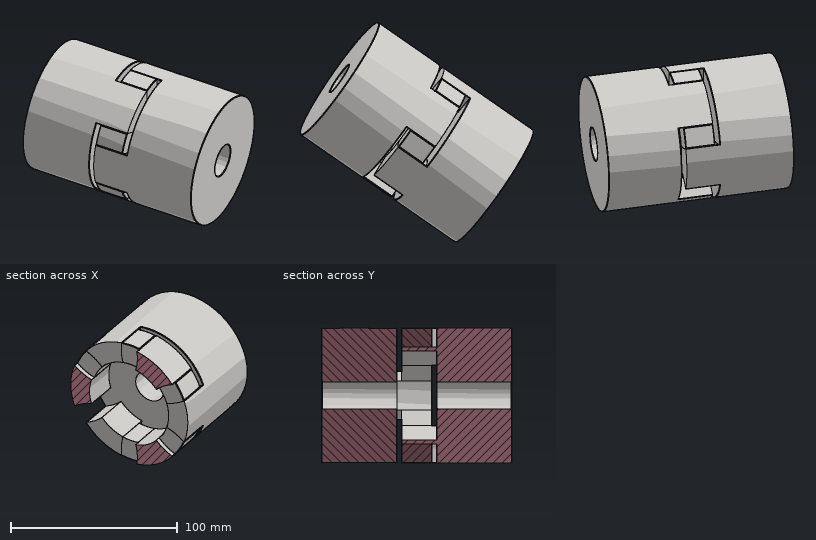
import cadquery as cq
import math


length = 114.0
outer_diameter = 82.0
outer_radius = outer_diameter / 2
bore_radius = 9.98
chamfer = 0.4

floor_x = 12.0
tip_x = 9.0
jaw_count = 3
jaw_pitch = 360.0 / jaw_count
pad_offset = jaw_pitch / 4
first_gap_angle = 0.0
pad_angles = [-90, -30, 30, 90, 150]

pad_inner_radius = 27.2
pad_inner_half_width = 5.5
pad_outer_half_width = 6.3
flank_bulge = 0.7


def place(radial, sideways, angle):
    """YZ point given along and across the direction at `angle` from -Y towards +Z."""
    a = math.radians(angle)
    y = -radial * math.cos(a) + sideways * math.sin(a)
    z = radial * math.sin(a) + sideways * math.cos(a)
    return (y, z)


def flank(pad_angle, side):
    """Inner, middle and outer points of a pad's side towards larger (+1) or smaller (-1) angles."""
    inner_reach = math.sqrt(pad_inner_radius**2 - pad_inner_half_width**2)
    outer_reach = math.sqrt(outer_radius**2 - pad_outer_half_width**2)
    middle_reach = (inner_reach + outer_reach) / 2
    middle_half_width = (pad_inner_half_width + pad_outer_half_width) / 2 + flank_bulge
    return (
        place(inner_reach, side * pad_inner_half_width, pad_angle),
        place(middle_reach, side * middle_half_width, pad_angle),
        place(outer_reach, side * pad_outer_half_width, pad_angle),
    )


def sector(low_flank, high_flank, angle, start_x):
    """Prism from start_x to the jaw tips, between two flanks and the inner and outer radii."""
    low_inner, low_middle, low_outer = low_flank
    high_inner, high_middle, high_outer = high_flank
    return (
        cq.Workplane("YZ", origin=(start_x, 0, 0))
        .moveTo(*low_inner)
        .threePointArc(low_middle, low_outer)
        .threePointArc(place(outer_radius, 0, angle), high_outer)
        .threePointArc(high_middle, high_inner)
        .threePointArc(place(pad_inner_radius, 0, angle), low_inner)
        .close()
        .extrude(tip_x - start_x)
    )


def gap_flanks(angle):
    """The two jaw flanks that bound the gap centred on `angle`, lower angle first."""
    return flank(angle - pad_offset, -1), flank(angle + pad_offset, 1)


def make_gap(angle):
    """Opening between two neighbouring jaws, centred on `angle`."""
    low_flank, high_flank = gap_flanks(angle)
    return sector(low_flank, high_flank, angle, -floor_x)


def gap_rim(hub, angle):
    """Hub edges around the mouth of the gap at `angle`: both flanks and the floor between them."""
    flank_middle_x = (tip_x - floor_x) / 2
    middles = [(-floor_x, *place(outer_radius, 0, angle))]
    for _, _, outer_point in gap_flanks(angle):
        middles.append((flank_middle_x, *outer_point))
    return [hub.edges(cq.selectors.NearestToPointSelector(middle)).val() for middle in middles]


def make_hub():
    """Hub on the -X side, with its jaws pointing towards +X."""
    back = cq.Workplane("YZ", origin=(-length / 2, 0, 0))
    hub_floor = cq.Workplane("YZ", origin=(-floor_x, 0, 0))
    bore = back.circle(bore_radius).extrude(length / 2)
    hollow = hub_floor.circle(pad_inner_radius).extrude(floor_x + tip_x)
    hub = back.circle(outer_radius).extrude(length / 2 + tip_x).cut(bore).cut(hollow)

    gap_angles = [first_gap_angle + i * jaw_pitch for i in range(jaw_count)]
    for angle in gap_angles:
        hub = hub.cut(make_gap(angle))

    hub = hub.faces("<X").edges().chamfer(chamfer)
    for angle in gap_angles:
        hub = hub.newObject(gap_rim(hub, angle)).chamfer(chamfer)
    return hub


def make_pad(angle):
    """Cushion pad with the rim of its outer face chamfered."""
    pad = sector(flank(angle, -1), flank(angle, 1), angle, -tip_x)
    outer_middle = (0, *place(outer_radius, 0, angle))
    outer_face = pad.faces(cq.selectors.NearestToPointSelector(outer_middle))
    return outer_face.edges().chamfer(chamfer)


left_hub = make_hub()
right_hub = left_hub.rotate((0, 0, 0), (0, 0, 1), 180)
pads = [make_pad(angle) for angle in pad_angles]

result = cq.Compound.makeCompound([left_hub.val(), right_hub.val(), *[pad.val() for pad in pads]])